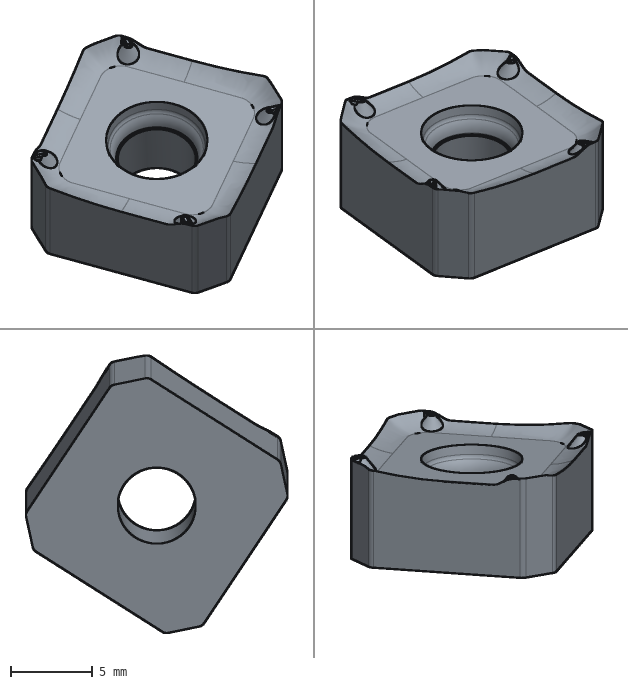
import math

import cadquery as cq

width = 13.0
height = 6.4
half_width = width / 2
corner_leg = 1.655
corner_edge_radius = 0.5
quarter_turns = (0, 90, 180, 270)

floor_z = 5.46
floor_width = 10.0
floor_half = floor_width / 2
floor_corner_radius = 1.35
arc_center = floor_half - floor_corner_radius
rim_width = half_width - floor_half

rim_inner_slope = 0.3
rim_inner_overrun = 0.15
rim_outer_overrun = 0.15
outline_sharpness = 40
rim_steps_across = 9
rim_steps_per_side = 24
rim_steps_round_corner = 24
fit_tolerance = 0.002
clearance_height = 3.0
center_clearance_width = 9.8

edge_arc_length = (floor_corner_radius + rim_width) * math.pi / 2
quarter_length = 2 * arc_center + edge_arc_length
mid_edge_rise = 0.40
flat_end = 2.9
peak_start = 4.3
peak_rise = 0.91
peak_end = 6.2
sag_start = quarter_length - 4.64
sag_start_rise = 0.78

hole_radius = 2.4
mouth_radius = 3.12
taper_end = (3.0, 4.87)
blend_end = (2.87, 4.61)
seat_end = (2.5, 3.84)
seat_foot = (2.5, 3.74)
throat_top = (hole_radius, 3.69)

boss_center = (4.01, -6.0)
boss_top_radius = 0.25
boss_top_z = 6.3
boss_base_z = 5.2
boss_flare = 0.78
pad_outline = [(4.39, -6.34), (4.12, -6.35), (3.94, -6.13), (3.94, -5.96), (4.11, -5.96)]
pad_steps = [(0.0, height), (0.12, 6.3), (0.22, 6.1)]


def outline_prism(z_bottom, z_top):
    """Square with cut corners, every vertical edge rounded."""
    return (
        cq.Workplane("XY", origin=(0, 0, z_bottom))
        .rect(width, width)
        .extrude(z_top - z_bottom)
        .edges("|Z")
        .chamfer(corner_leg)
        .edges("|Z")
        .fillet(corner_edge_radius)
    )


def ease(start, end, fraction):
    """Blend between two heights, level at both ends."""
    return start + (end - start) * (1 - math.cos(math.pi * fraction)) / 2


def edge_rise(station):
    """Height of the cutting edge above the floor, from one mid-side to the next."""
    if station <= flat_end:
        return mid_edge_rise
    if station <= peak_start:
        return ease(mid_edge_rise, peak_rise, (station - flat_end) / (peak_start - flat_end))
    if station <= peak_end:
        return peak_rise
    if station <= sag_start:
        return ease(peak_rise, sag_start_rise, (station - peak_end) / (sag_start - peak_end))
    remaining = (quarter_length - station) / (quarter_length - sag_start)
    return mid_edge_rise + (sag_start_rise - mid_edge_rise) * remaining**2


def corner_reach(angle):
    """Distance from the floor's corner arc center to the rounded body outline."""
    side_reach = half_width - arc_center
    cut_reach = (2 * half_width - corner_leg - 2 * arc_center) / math.sqrt(2)
    closeness = (
        math.cos(angle) / side_reach,
        math.cos(angle - math.pi / 4) / cut_reach,
        math.sin(angle) / side_reach,
    )
    return sum(max(value, 0) ** outline_sharpness for value in closeness) ** (-1 / outline_sharpness)


def rim_point(station, across):
    """Point on the rim: across is 0 at the floor outline and 1 at the cutting edge."""
    fraction = (station - arc_center) / edge_arc_length
    angle = min(max(fraction, 0), 1) * math.pi / 2
    offset = floor_corner_radius + across * (corner_reach(angle) - floor_corner_radius)
    before_arc = min(station - arc_center, 0)
    after_arc = max(station - arc_center - edge_arc_length, 0)
    x = arc_center + before_arc + offset * math.sin(angle)
    y = -arc_center + after_arc - offset * math.cos(angle)
    profile = across * (rim_inner_slope + (1 - rim_inner_slope) * across)
    return cq.Vector(x, y, floor_z + edge_rise(station) * profile)


def spread(start, end, steps):
    """Evenly spaced values, both ends included."""
    return [start + (end - start) * i / steps for i in range(steps + 1)]


def rim_clearance():
    """Space above the rim surface over one quarter of the cutting edge."""
    arc_end = arc_center + edge_arc_length
    stations = spread(0, arc_center, rim_steps_per_side)
    stations += spread(arc_center, arc_end, rim_steps_round_corner)[1:]
    stations += spread(arc_end, quarter_length, rim_steps_per_side)[1:]
    across_values = spread(-rim_inner_overrun, 1 + rim_outer_overrun, rim_steps_across)
    grid = [[rim_point(station, across) for across in across_values] for station in stations]
    surface = cq.Face.makeSplineApprox(grid, tol=fit_tolerance, minDeg=3, maxDeg=3)
    return cq.Workplane(cq.Solid.extrudeLinear(surface, cq.Vector(0, 0, clearance_height)))


def pad_section(spread_out, z):
    """Pad outline at height z, grown outward with sharp corners."""
    section = cq.Workplane("XY", origin=(0, 0, z)).polyline(pad_outline).close()
    if spread_out > 0:
        section = section.offset2D(spread_out, "intersection")
    return section.wires().val()


def index_mark():
    """Conical boss topped by a drafted five-sided pad."""
    boss_height = boss_top_z - boss_base_z
    base_radius = boss_top_radius + boss_flare * boss_height
    boss = cq.Workplane(
        cq.Solid.makeCone(
            base_radius,
            boss_top_radius,
            boss_height,
            pnt=cq.Vector(*boss_center, boss_base_z),
        )
    )
    outlines = [pad_section(spread_out, z) for spread_out, z in pad_steps]
    pad = cq.Workplane(cq.Solid.makeLoft(outlines, True))
    return boss.union(pad)


def rim():
    """Raised band around the floor, bounded above by the rim surface and its index marks."""
    band = outline_prism(floor_z, height)
    center = (
        cq.Workplane("XY", origin=(0, 0, floor_z))
        .rect(center_clearance_width, center_clearance_width)
        .extrude(clearance_height)
        .edges("|Z")
        .fillet(floor_corner_radius)
    )
    band = band.cut(center)
    clearance = rim_clearance().cut(index_mark())
    for turn in quarter_turns:
        band = band.cut(clearance.rotate((0, 0, 0), (0, 0, 1), turn))
    return band


def screw_hole():
    """Tapered mouth, rounded screw seat and straight through bore."""
    return (
        cq.Workplane("XZ")
        .moveTo(0, 0)
        .lineTo(0, floor_z)
        .lineTo(mouth_radius, floor_z)
        .lineTo(*taper_end)
        .tangentArcPoint(blend_end, relative=False)
        .tangentArcPoint(seat_end, relative=False)
        .lineTo(*seat_foot)
        .lineTo(*throat_top)
        .lineTo(hole_radius, 0)
        .close()
        .revolve(360, (0, 0, 0), (0, 1, 0))
    )


result = outline_prism(0, floor_z).union(rim()).cut(screw_hole())